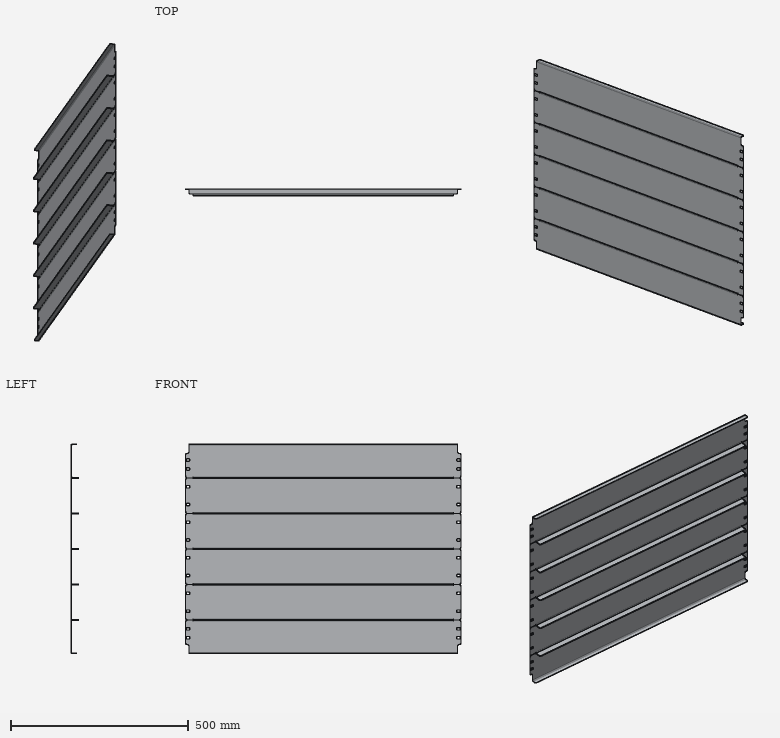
import cadquery as cq
import math

WIDTH = 776.5
PITCH = 100.0
TOTAL_HEIGHT = 590.0
MIDDLE_COUNT = 4

SHEET = 1.5
INNER_BEND = 1.0
OUTER_BEND = INNER_BEND + SHEET
SEAM_DEPTH = 20.0
RIM_DEPTH = 15.0
SEAM_INSET = 21.0
RIM_INSET = 9.0
FLANGE_CORNER = 4.0

TAB_CORNER = 5.5
NOTCH_HEIGHT = 26.0
NOTCH_CORNER = 4.0

SLOT_LENGTH = 9.0
SLOT_HEIGHT = 6.0
SLOT_CORNER = 1.5
SLOT_INSET = 7.0
SLOT_OFFSET = PITCH / 4

END_HEIGHT = (TOTAL_HEIGHT - MIDDLE_COUNT * PITCH) / 2
LOWEST_SEAM = END_HEIGHT - TOTAL_HEIGHT / 2


def box(x_size, y_min, y_max, z_min, z_max):
    """Box centred on X between the given Y and Z limits."""
    return (
        cq.Workplane("XY")
        .box(x_size, y_max - y_min, z_max - z_min, centered=(True, False, False))
        .translate((0, y_min, z_min))
    )


def flange(height, depth, inset):
    """Bend and flange along the upper edge of a sheet whose back face is Y = 0."""
    length = WIDTH - 2 * inset
    bend_start = height - OUTER_BEND
    diagonal = math.sqrt(0.5)
    profile = (
        cq.Workplane("YZ", origin=(-length / 2, 0, 0))
        .moveTo(0, bend_start)
        .threePointArc(
            (-OUTER_BEND + OUTER_BEND * diagonal, bend_start + OUTER_BEND * diagonal),
            (-OUTER_BEND, height),
        )
        .lineTo(-depth, height)
        .lineTo(-depth, height - SHEET)
        .lineTo(-OUTER_BEND, height - SHEET)
        .threePointArc(
            (-OUTER_BEND + INNER_BEND * diagonal, bend_start + INNER_BEND * diagonal),
            (-SHEET, bend_start),
        )
        .close()
    )
    return profile.extrude(length).edges("|Z and <Y").fillet(FLANGE_CORNER)


def seam_edge_cut(height):
    """Strip removed from the flat sheet where the seam bend replaces it."""
    return box(WIDTH - 2 * SEAM_INSET, -SHEET, 0, height - OUTER_BEND, height)


def slots(heights):
    """Rounded mounting slots at both panel ends, at the given heights."""
    slot_x = WIDTH / 2 - SLOT_INSET
    points = [(x, z) for x in (-slot_x, slot_x) for z in heights]
    blanks = cq.Workplane("XZ").pushPoints(points).rect(SLOT_LENGTH, SLOT_HEIGHT).extrude(SHEET)
    return blanks.edges("|Y").fillet(SLOT_CORNER)


def middle_panel():
    """Panel with a seam flange on both long edges, standing on Z = 0."""
    sheet = box(WIDTH, -SHEET, 0, 0, PITCH).edges("|Y").fillet(TAB_CORNER)
    top_edge = seam_edge_cut(PITCH)
    top_flange = flange(PITCH, SEAM_DEPTH, SEAM_INSET)
    centre = (0, 0, PITCH / 2)
    bottom_edge = top_edge.mirror("XY", centre)
    bottom_flange = top_flange.mirror("XY", centre)
    panel = sheet.cut(top_edge).cut(bottom_edge).union(top_flange).union(bottom_flange)
    return panel.cut(slots([SLOT_OFFSET, PITCH - SLOT_OFFSET]))


def end_sheet():
    """Flat sheet of an end panel, notched at both upper corners."""
    shoulder = END_HEIGHT - NOTCH_HEIGHT
    neck_x = WIDTH / 2 - RIM_INSET
    wide_part = box(WIDTH, -SHEET, 0, 0, shoulder).edges("|Y and <Z").fillet(TAB_CORNER)
    neck = box(2 * neck_x, -SHEET, 0, shoulder / 2, END_HEIGHT - OUTER_BEND)
    sheet = wide_part.union(neck)
    for notch_corner_x in (-WIDTH / 2, -neck_x, neck_x, WIDTH / 2):
        corner = cq.selectors.NearestToPointSelector((notch_corner_x, -SHEET / 2, shoulder))
        sheet = sheet.edges("|Y").edges(corner).fillet(NOTCH_CORNER)
    return sheet


def end_panel():
    """Panel with its seam at Z = 0 and its rim flange and notches at the top."""
    seam_edge = seam_edge_cut(OUTER_BEND)
    seam_flange = flange(OUTER_BEND, SEAM_DEPTH, SEAM_INSET)
    seam_flange = seam_flange.mirror("XY", (0, 0, OUTER_BEND / 2))
    rim_flange = flange(END_HEIGHT, RIM_DEPTH, RIM_INSET)
    panel = end_sheet().cut(seam_edge).union(seam_flange).union(rim_flange)
    return panel.cut(slots([SLOT_OFFSET, 2 * SLOT_OFFSET]))


top_panel = end_panel().translate((0, 0, -LOWEST_SEAM))
bottom_panel = top_panel.mirror("XY")
middle_panels = [
    middle_panel().translate((0, 0, LOWEST_SEAM + index * PITCH))
    for index in range(MIDDLE_COUNT)
]

result = cq.Compound.makeCompound(
    [bottom_panel.val(), *[panel.val() for panel in middle_panels], top_panel.val()]
)